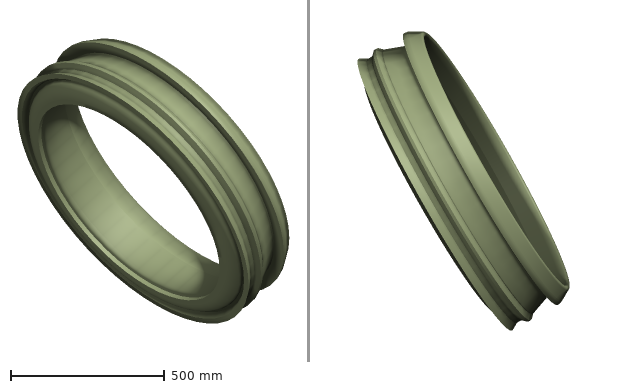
import math

import cadquery as cq


overall_length = 250.0
outer_radius = 510.0
bore_radius = 450.0

lip_inner_radius = 400.0
lip_thickness = 15.0
lip_face_width = 20.0
lip_bend_radius = 50.0

flange_y = 20.0
flange_inner_radius = 490.0
flange_cone_angle = 30.0
groove_floor_y = 40.0

shoulder_radius = 495.0
rib_front_y = 80.0
rib_back_y = 90.0

neck_radius = 467.5
neck_cone_front_y = 108.0
neck_cone_back_y = 183.5

rim_front_y = 191.0
rim_arc_radius = 40.0
rim_cone_angle = 30.0
rear_nose_radius = 10.0
bore_flare_angle = 15.0


def on_circle(center, radius, angle):
    """Point of a profile circle; the angle runs from +radius toward +Y, in degrees."""
    turn = math.radians(angle)
    return (center[0] + radius * math.cos(turn), center[1] + radius * math.sin(turn))


def add_lines(profile, points):
    """Append straight segments through the points."""
    for point in points:
        profile = profile.lineTo(*point)
    return profile


def add_arc(profile, center, radius, start_angle, end_angle):
    """Append a circular arc that begins at the profile's current end."""
    middle = on_circle(center, radius, (start_angle + end_angle) / 2)
    return profile.threePointArc(middle, on_circle(center, radius, end_angle))


def add_front_lip(profile):
    """Flat lip face and its rounded outer side, down to the groove floor."""
    bend_center = (lip_inner_radius + lip_face_width, lip_bend_radius)
    groove_depth_angle = math.degrees(math.asin((groove_floor_y - lip_bend_radius) / lip_bend_radius))
    profile = add_lines(profile, [(bend_center[0], 0)])
    return add_arc(profile, bend_center, lip_bend_radius, -90, groove_depth_angle)


def add_outer_side(profile):
    """Groove, front flange, middle rib and neck, up to the front face of the rear rim."""
    shoulder_step = outer_radius - shoulder_radius
    flange_slope = math.tan(math.radians(flange_cone_angle))
    flange_cone_length = shoulder_step / flange_slope
    groove_outer_radius = flange_inner_radius - (groove_floor_y - flange_y) * flange_slope
    return add_lines(profile, [
        (groove_outer_radius, groove_floor_y),
        (flange_inner_radius, flange_y),
        (outer_radius, flange_y),
        (shoulder_radius, flange_y + flange_cone_length),
        (shoulder_radius, rib_front_y - shoulder_step),
        (outer_radius, rib_front_y),
        (outer_radius, rib_back_y),
        (shoulder_radius, rib_back_y + shoulder_step),
        (shoulder_radius, neck_cone_front_y),
        (neck_radius, neck_cone_back_y),
        (neck_radius, rim_front_y),
        (outer_radius, rim_front_y),
    ])


def add_rear_rim(profile):
    """Rounded rim edge, cone, rounded rear nose and the flare into the bore."""
    rim_arc_center = (outer_radius - rim_arc_radius, rim_front_y)
    cone_start = on_circle(rim_arc_center, rim_arc_radius, rim_cone_angle)
    rim_turn = math.radians(rim_cone_angle)
    nose_center_y = overall_length - rear_nose_radius
    cone_end_y = nose_center_y + rear_nose_radius * math.sin(rim_turn)
    cone_end_radius = cone_start[0] - (cone_end_y - cone_start[1]) * math.tan(rim_turn)
    nose_center = (cone_end_radius - rear_nose_radius * math.cos(rim_turn), nose_center_y)

    flare_normal_angle = 180 - bore_flare_angle
    flare_end = on_circle(nose_center, rear_nose_radius, flare_normal_angle)
    flare_length = (flare_end[0] - bore_radius) / math.tan(math.radians(bore_flare_angle))

    profile = add_arc(profile, rim_arc_center, rim_arc_radius, 0, rim_cone_angle)
    profile = add_lines(profile, [(cone_end_radius, cone_end_y)])
    profile = add_arc(profile, nose_center, rear_nose_radius, rim_cone_angle, flare_normal_angle)
    return add_lines(profile, [(bore_radius, flare_end[1] - flare_length)])


def add_bore(profile):
    """Straight bore and the rounded inner side of the lip."""
    inner_bend_center = (lip_inner_radius, lip_thickness + lip_bend_radius)
    profile = add_lines(profile, [(bore_radius, inner_bend_center[1])])
    return add_arc(profile, inner_bend_center, lip_bend_radius, 0, -90)


def make_ring():
    """Revolve the closed profile about the Y axis."""
    profile = cq.Workplane("XY").moveTo(lip_inner_radius, 0)
    profile = add_front_lip(profile)
    profile = add_outer_side(profile)
    profile = add_rear_rim(profile)
    profile = add_bore(profile)
    return profile.close().revolve(360, (0, 0, 0), (0, 1, 0))


result = make_ring()